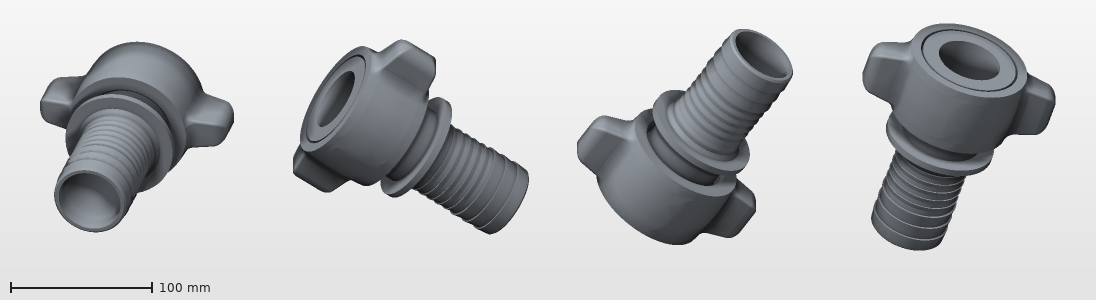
import cadquery as cq
import math


total_length = 150.0
bore_diameter = 45.0
valley_diameter = 51.5
barb_diameter = 54.5
ridge_diameter = 53.2
tip_diameter = 52.5
tip_chamfer = 1.4
barb_tops = [11.0, 21.3, 31.0]
ridge_count = 5
ridge_pitch = 6.9
ridge_length = 3.5
first_ridge_top = 38.5
band_start = 71.0
band_end = 74.0
cone_diameter = 60.0
flange_diameter = 78.0
flange_start = 77.4
flange_end = 82.4
neck_diameter = 57.0
collar_diameter = 68.0
flare_start = 108.8
flare_length = (collar_diameter - neck_diameter) / 2

nut_length = 50.0
nut_crown_diameter = 88.0
nut_end_diameter = 84.8
lip_bore_diameter = 61.0
lip_chamfer = 2.0
lip_length = 10.5
socket_diameter = 71.2
nut_start = total_length - nut_length
nut_middle = total_length - nut_length / 2
blank_overrun = 3.0

wing_span = 137.0
wing_tip_x = wing_span / 2
wing_round_start = 59.7
wing_root_x = 36.0
wing_side_angle = 6.0
wing_edge_angle = 11.2
wing_tip_half_width = 6.3
wing_edge_fillet = 2.0
wing_root_fillet = 8.0
selection_margin = 1.5


def revolve_about_y(outline):
    return outline.close().revolve(360, (0, 0, 0), (0, 1, 0))


def make_hose_tail():
    valley = valley_diameter / 2
    outline = (
        cq.Workplane("XY")
        .moveTo(bore_diameter / 2, 0)
        .lineTo(tip_diameter / 2 - tip_chamfer, 0)
        .lineTo(tip_diameter / 2, tip_chamfer)
    )
    for top in barb_tops:
        outline = outline.lineTo(barb_diameter / 2, top).lineTo(valley, top)
    for i in range(ridge_count):
        top = first_ridge_top + i * ridge_pitch
        outline = (
            outline.lineTo(valley, top - ridge_length)
            .lineTo(ridge_diameter / 2, top)
            .lineTo(valley, top)
        )
    outline = (
        outline.lineTo(barb_diameter / 2, band_start)
        .lineTo(barb_diameter / 2, band_end)
        .lineTo(cone_diameter / 2, flange_start)
        .lineTo(flange_diameter / 2, flange_start)
        .lineTo(flange_diameter / 2, flange_end)
        .lineTo(neck_diameter / 2, flange_end)
        .lineTo(neck_diameter / 2, flare_start)
        .lineTo(collar_diameter / 2, flare_start + flare_length)
        .lineTo(collar_diameter / 2, total_length)
        .lineTo(bore_diameter / 2, total_length)
    )
    return revolve_about_y(outline)


def make_nut_blank():
    """Crowned blank, longer than the nut so that the wing root fillets can run past its ends."""
    crown = nut_crown_diameter / 2
    drop = crown - nut_end_diameter / 2
    half_length = nut_length / 2
    crown_radius = (half_length**2 + drop**2) / (2 * drop)
    reach = half_length + blank_overrun
    end = crown - crown_radius + math.sqrt(crown_radius**2 - reach**2)
    outline = (
        cq.Workplane("XY")
        .moveTo(0, nut_middle - reach)
        .lineTo(end, nut_middle - reach)
        .threePointArc((crown, nut_middle), (end, nut_middle + reach))
        .lineTo(0, nut_middle + reach)
    )
    return revolve_about_y(outline).rotate((0, 0, 0), (0, 1, 0), 90)


def make_wing_prism(plane, side_angle, tip_half_width):
    """Prism with tapered sides that a tangent arc at each corner joins to the tip."""
    slope = math.radians(side_angle)
    corner = (wing_tip_x - wing_round_start) / (1 - math.sin(slope))
    half_width = tip_half_width + corner * math.cos(slope)
    root_half_width = half_width + (wing_round_start - wing_root_x) * math.tan(slope)
    outline = (
        cq.Workplane(plane)
        .moveTo(wing_root_x, root_half_width)
        .lineTo(wing_round_start, half_width)
    )
    if tip_half_width > 0:
        middle = math.radians(90 - side_angle) / 2
        arc_x = wing_tip_x - corner + corner * math.cos(middle)
        arc_y = tip_half_width + corner * math.sin(middle)
        outline = (
            outline.threePointArc((arc_x, arc_y), (wing_tip_x, tip_half_width))
            .lineTo(wing_tip_x, -tip_half_width)
            .threePointArc((arc_x, -arc_y), (wing_round_start, -half_width))
        )
    else:
        outline = outline.threePointArc((wing_tip_x, 0), (wing_round_start, -half_width))
    return outline.lineTo(wing_root_x, -root_half_width).close().extrude(wing_tip_x, both=True)


def make_wing():
    thickness = make_wing_prism("XZ", wing_side_angle, 0)
    width = make_wing_prism("XY", wing_edge_angle, wing_tip_half_width)
    long_edges = cq.selectors.BoxSelector(
        (wing_root_x + selection_margin, -wing_span, -wing_span),
        (wing_round_start - selection_margin, wing_span, wing_span),
    )
    wing = thickness.intersect(width).edges(long_edges).fillet(wing_edge_fillet)
    return wing.translate((0, nut_middle, 0))


def is_wing_root(edge):
    """True for the lines where a wing meets the crowned side of the nut."""
    box = edge.BoundingBox()
    within_crown = max(abs(box.xmin), abs(box.xmax)) < nut_crown_diameter / 2
    return edge.geomType() != "CIRCLE" and within_crown and abs(edge.Center().x) > wing_root_x


def make_nut_cavity():
    lip_bore = lip_bore_diameter / 2
    outline = (
        cq.Workplane("XY")
        .moveTo(0, nut_start)
        .lineTo(lip_bore + lip_chamfer, nut_start)
        .lineTo(lip_bore, nut_start + lip_chamfer)
        .lineTo(lip_bore, nut_start + lip_length)
        .lineTo(socket_diameter / 2, nut_start + lip_length)
        .lineTo(socket_diameter / 2, total_length)
        .lineTo(0, total_length)
    )
    return revolve_about_y(outline)


def make_wing_nut():
    nut = make_nut_blank()
    wing = make_wing()
    for side_wing in (wing, wing.mirror("YZ")):
        nut = nut.union(side_wing)
    root_lines = [edge for edge in nut.edges().vals() if is_wing_root(edge)]
    nut = cq.Workplane(nut.val().fillet(wing_root_fillet, root_lines))
    trim = cq.Workplane("XZ", origin=(0, nut_start, 0)).circle(wing_span).extrude(-nut_length)
    return nut.intersect(trim).cut(make_nut_cavity())


hose_tail = make_hose_tail()
wing_nut = make_wing_nut()
result = cq.Compound.makeCompound([hose_tail.val(), wing_nut.val()])